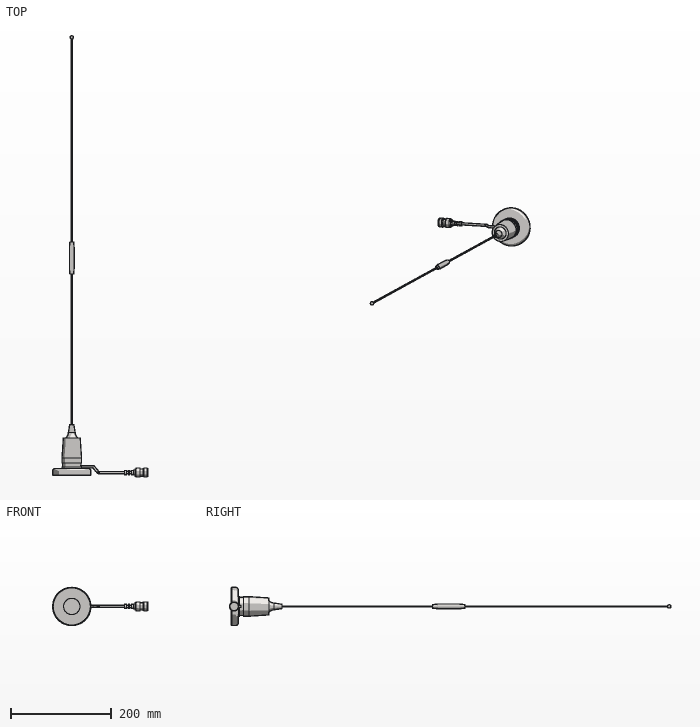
import cadquery as cq


total_width = 190.0
total_length = 878.0

base_radius = 76.0 / 2
base_height = 14.0
base_rim_fillet = 5.0
base_bottom_chamfer = 1.3
pad_radius = 32.5 / 2
pad_depth = 3.0

neck_radius = 18.0
neck_height = 10.5
ring_radius = 39.5 / 2
ring_height = 10.5
foot_height = 3.0

can_top_radius = 34.0 / 2
can_height = 39.5
flare_bottom_radius = 12.0
flare_top_radius = 7.0
flare_height = 10.5
flare_sagitta = 1.3

ferrule_top_radius = 4.0
ferrule_height = 16.0

whip_radius = 1.3
coil_radius = 5.0
coil_end_radius = 3.95
coil_bottom = 400.0
coil_length = 64.0
coil_taper_length = 11.0
tip_radius = 3.5

cable_radius = 2.5
cable_socket_depth = 9.0
cable_high_y = base_height + 3.1
cable_low_y = 5.7
cable_bend_start_x = 43.0
cable_bend_end_x = 53.0
cable_end_x = 104.5

plug_radius = 18.0 / 2
plug_waist_radius = 7.5
plug_step_radius = 8.3
plug_tail_radius = 5.0
relief_radius = 4.0
relief_groove_radius = 3.0
connector_end_x = total_width - base_radius
connector_sections = [
    (relief_radius, 4.0),
    (relief_groove_radius, 4.0),
    (relief_radius, 2.0),
    (relief_groove_radius, 3.5),
    (relief_radius, 4.0),
    (plug_tail_radius, 3.0),
    (plug_waist_radius, 3.0),
    (plug_radius, 8.0),
    (plug_waist_radius, 5.0),
    (plug_step_radius, 3.0),
    (plug_radius, 5.0),
]

foot_top = base_height + foot_height
neck_top = base_height + neck_height
ring_top = neck_top + ring_height
can_top = ring_top + can_height
flare_top = can_top + flare_height
ferrule_top = flare_top + ferrule_height
coil_top = coil_bottom + coil_length
whip_top = cable_low_y - plug_radius + total_length


def spin(outline):
    """Turn a closed (y, radius) outline in the YZ plane about the whip axis."""
    return outline.close().revolve(360, (0, 0, 0), (1, 0, 0))


def turned(profile):
    """Solid of revolution about the whip axis from (y, radius) corners."""
    corners = [(profile[0][0], 0), *profile, (profile[-1][0], 0)]
    return spin(cq.Workplane("YZ").polyline(corners))


def cylinder(radius, y_start, y_end):
    """Cylinder on the whip axis between two heights."""
    return turned([(y_start, radius), (y_end, radius)])


def make_cable():
    """Cable that starts inside the neck, steps down past the base rim and runs along X."""
    start = (neck_radius - cable_socket_depth, cable_high_y)
    path = cq.Workplane("XY").polyline([
        start,
        (cable_bend_start_x, cable_high_y),
        (cable_bend_end_x, cable_low_y),
        (cable_end_x, cable_low_y),
    ])
    return cq.Workplane("YZ", origin=(*start, 0)).circle(cable_radius).sweep(path, transition="round")


def make_pad():
    return cylinder(pad_radius, 0, pad_depth)


def make_base(pad):
    """Round base with a rounded upper rim, a chamfered lower rim and a recess for the pad."""
    disc = cylinder(base_radius, 0, base_height)
    disc = disc.faces(">Y").edges().fillet(base_rim_fillet)
    disc = disc.faces("<Y").edges().chamfer(base_bottom_chamfer)
    return disc.cut(pad)


def make_adapter(cable):
    """Foot, neck and ring, with a blind side hole that takes the cable."""
    body = turned([
        (base_height, ring_radius),
        (foot_top, ring_radius),
        (foot_top, neck_radius),
        (neck_top, neck_radius),
        (neck_top, ring_radius),
        (ring_top, ring_radius),
    ])
    return body.cut(cable)


def make_housing():
    """Tapered can whose collar curves inward like a trumpet."""
    outline = (
        cq.Workplane("YZ")
        .moveTo(ring_top, 0)
        .lineTo(ring_top, ring_radius)
        .lineTo(can_top, can_top_radius)
        .lineTo(can_top, flare_bottom_radius)
        .sagittaArc((flare_top, flare_top_radius), -flare_sagitta)
        .lineTo(flare_top, 0)
    )
    return spin(outline)


def make_ferrule():
    return turned([(flare_top, flare_top_radius), (ferrule_top, ferrule_top_radius)])


def make_lower_whip():
    return cylinder(whip_radius, ferrule_top, coil_bottom)


def make_loading_coil():
    """Sleeve that tapers toward both ends."""
    return turned([
        (coil_bottom, coil_end_radius),
        (coil_bottom + coil_taper_length, coil_radius),
        (coil_top - coil_taper_length, coil_radius),
        (coil_top, coil_end_radius),
    ])


def make_upper_whip():
    """Rod that ends in a ball."""
    ball_y = whip_top - tip_radius
    ball = cq.Workplane("XY", origin=(0, ball_y, 0)).sphere(tip_radius)
    return cylinder(whip_radius, coil_top, ball_y).union(ball)


def make_connector():
    """Ribbed strain relief followed by a plug with two thick collars."""
    profile = [(cable_end_x, cable_low_y)]
    x = cable_end_x
    for radius, length in connector_sections:
        profile += [(x, cable_low_y + radius), (x + length, cable_low_y + radius)]
        x += length
    profile += [
        (x, cable_low_y + plug_step_radius),
        (connector_end_x, cable_low_y + plug_step_radius),
        (connector_end_x, cable_low_y),
    ]
    outline = cq.Workplane("XY").polyline(profile).close()
    return outline.revolve(360, (0, cable_low_y, 0), (1, cable_low_y, 0))


cable = make_cable()
pad = make_pad()
base = make_base(pad)
adapter = make_adapter(cable)
housing = make_housing()
ferrule = make_ferrule()
lower_whip = make_lower_whip()
loading_coil = make_loading_coil()
upper_whip = make_upper_whip()
connector = make_connector()

result = cq.Compound.makeCompound([
    base.val(),
    pad.val(),
    adapter.val(),
    housing.val(),
    ferrule.val(),
    lower_whip.val(),
    loading_coil.val(),
    upper_whip.val(),
    cable.val(),
    connector.val(),
])